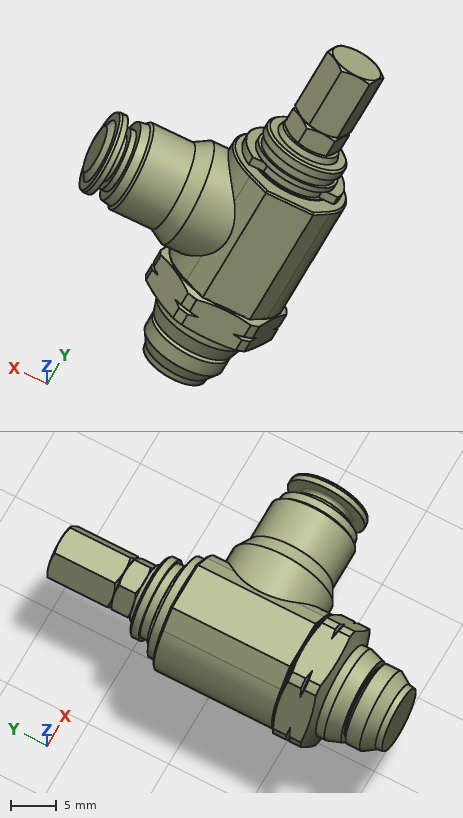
import cadquery as cq
import math

total_length = 42.0
join_overlap = 0.4

tip_radius = 3.82
tip_land_radius = 3.95
tip_land_end = 0.75
plug_radius = 4.87
plug_taper_end = 2.2
plug_end = 3.95
plug_groove_radius = 4.2
plug_groove_start = 4.33
plug_groove_end = 4.45
shoulder_start_radius = 4.95
shoulder_radius = 5.55
shoulder_taper_end = 6.2

nut_start = 7.25
nut_end = 11.75
nut_flats = 14.03
nut_corner_radius = 7.75
nut_lead_length = 0.65
nut_back_radius = 6.9
nut_back_length = 0.38
nut_groove_position = 9.55
nut_groove_radius = 7.35
nut_groove_half_width = 0.2

washer_radius = 6.9
body_start = 11.93
body_end = 26.75
body_half_width = nut_flats / 2
body_chamfer = 0.2

collar_start = 26.9
collar_end = 27.9
collar_radius = 6.05
collar_top_lift = 0.45
collar_bottom = -3.02

neck_radius = 4.9
neck_groove_radius = 4.55
neck_groove_start = 28.5
neck_groove_end = 29.6
neck_chamfer_start = 30.55
neck_end = 30.8
neck_end_radius = 4.65
stem_foot_radius = 3.7
stem_foot_end_radius = 3.45

lock_nut_start = 31.5
lock_nut_end = 34.0
stem_flats = 6.0
stem_bevel_depth = 0.5
stem_bevel_length = 0.25

branch_position = 19.25
branch_radius = 6.25
branch_shoulder_end = 8.75
branch_taper_end = 10.55
socket_radius = 5.25
socket_end = 15.65
cap_start_radius = 4.9
cap_start = 15.9
cap_end_radius = 4.7
cap_end = 16.95
ring_radius = 3.7
ring_end = 17.65
sleeve_neck_radius = 2.77
sleeve_fillet = 0.45
sleeve_flange_start = 18.55
sleeve_flange_radius = 4.8
sleeve_bevel_start = 19.25
sleeve_bevel_radius = 4.65
sleeve_flange_end = 19.55
sleeve_lip_radius = 3.7
sleeve_end = 20.08


def turned_y(points):
    """Solid of revolution about Y from (radius, Y) points."""
    profile = [(0, points[0][1])] + points + [(0, points[-1][1])]
    return cq.Workplane("XY").polyline(profile).close().revolve(360, (0, 0), (0, 1))


def along_y(start):
    """Workplane at the given Y whose extrusions grow toward +Y; local axes are X and -Z."""
    return cq.Workplane("XZ", origin=(0, start, 0)).transformed(rotate=(180, 0, 0))


def hexagon_bar(flats, start, end):
    """Hexagonal bar along Y with corners on the X axis."""
    across_corners = flats / math.cos(math.radians(30))
    return along_y(start).polygon(6, across_corners).extrude(end - start)


def make_plug():
    return turned_y([
        (tip_radius, 0),
        (tip_land_radius, tip_land_end),
        (plug_radius, plug_taper_end),
        (plug_radius, plug_end),
        (plug_groove_radius, plug_groove_start),
        (plug_groove_radius, plug_groove_end),
        (shoulder_start_radius, plug_groove_end),
        (shoulder_radius, shoulder_taper_end),
        (shoulder_radius, nut_start + join_overlap),
    ])


def make_nut():
    envelope = turned_y([
        (shoulder_radius, nut_start),
        (nut_corner_radius, nut_start + nut_lead_length),
        (nut_corner_radius, nut_groove_position - nut_groove_half_width),
        (nut_groove_radius, nut_groove_position),
        (nut_corner_radius, nut_groove_position + nut_groove_half_width),
        (nut_corner_radius, nut_end - nut_back_length),
        (nut_back_radius, nut_end),
    ])
    return hexagon_bar(nut_flats, nut_start, nut_end).intersect(envelope)


def make_washer():
    length = body_start - nut_end + 2 * join_overlap
    return along_y(nut_end - join_overlap).circle(washer_radius).extrude(length)


def make_body():
    half_flat = body_half_width * math.tan(math.radians(22.5))
    tangent = body_half_width * math.cos(math.radians(45))
    outline = (
        along_y(body_start)
        .moveTo(-tangent, tangent)
        .lineTo(-half_flat, body_half_width)
        .lineTo(half_flat, body_half_width)
        .lineTo(tangent, tangent)
        .threePointArc((body_half_width, 0), (tangent, -tangent))
        .lineTo(half_flat, -body_half_width)
        .lineTo(-half_flat, -body_half_width)
        .lineTo(-tangent, -tangent)
        .threePointArc((-body_half_width, 0), (-tangent, tangent))
        .close()
    )
    return outline.extrude(body_end - body_start).faces(">Y").chamfer(body_chamfer)


def make_collar():
    """Flange whose round top is centred a little above the axis and whose underside is flat."""
    top_radius = math.sqrt(collar_radius**2 - collar_top_lift**2)
    length = collar_end - collar_start
    raised_top = along_y(collar_start).center(0, -collar_top_lift).circle(top_radius).extrude(length)
    lower_disc = along_y(collar_start).circle(collar_radius).extrude(length)
    upper_half = cq.Workplane("XY", origin=(0, collar_start + length / 2, collar_top_lift)).box(
        2 * collar_radius, length, 2 * collar_radius, centered=(True, True, False)
    )
    middle_band = cq.Workplane("XY", origin=(0, collar_start + length / 2, collar_bottom)).box(
        2 * collar_radius, length, collar_top_lift - collar_bottom, centered=(True, True, False)
    )
    return raised_top.intersect(upper_half).union(lower_disc.intersect(middle_band))


def make_neck():
    return turned_y([
        (neck_radius, body_end - join_overlap),
        (neck_radius, collar_start),
        (neck_groove_radius, collar_start),
        (neck_groove_radius, collar_end),
        (neck_radius, collar_end),
        (neck_radius, neck_groove_start),
        (neck_groove_radius, neck_groove_start),
        (neck_groove_radius, neck_groove_end),
        (neck_radius, neck_groove_end),
        (neck_radius, neck_chamfer_start),
        (neck_end_radius, neck_end),
        (stem_foot_radius, neck_end),
        (stem_foot_end_radius, lock_nut_start),
    ])


def make_stem_piece(start, end):
    """Hexagonal piece of the stem with its corners bevelled at both ends."""
    corner_radius = stem_flats / 2 / math.cos(math.radians(30))
    envelope = turned_y([
        (corner_radius - stem_bevel_depth, start),
        (corner_radius, start + stem_bevel_length),
        (corner_radius, end - stem_bevel_length),
        (corner_radius - stem_bevel_depth, end),
    ])
    return hexagon_bar(stem_flats, start, end).intersect(envelope)


def make_branch():
    fillet_start = sleeve_flange_start - sleeve_fillet
    fillet_middle = (
        sleeve_flange_start - sleeve_fillet * (1 - math.sin(math.radians(45))),
        sleeve_neck_radius + sleeve_fillet * (1 - math.cos(math.radians(45))),
    )
    profile = (
        cq.Workplane("XY", origin=(0, branch_position, 0))
        .polyline([
            (0, 0),
            (0, branch_radius),
            (branch_shoulder_end, branch_radius),
            (branch_taper_end, socket_radius),
            (socket_end, socket_radius),
            (cap_start, cap_start_radius),
            (cap_end, cap_end_radius),
            (cap_end, ring_radius),
            (ring_end, ring_radius),
            (ring_end, sleeve_neck_radius),
            (fillet_start, sleeve_neck_radius),
        ])
        .threePointArc(fillet_middle, (sleeve_flange_start, sleeve_neck_radius + sleeve_fillet))
        .lineTo(sleeve_flange_start, sleeve_flange_radius)
        .lineTo(sleeve_bevel_start, sleeve_flange_radius)
        .lineTo(sleeve_flange_end, sleeve_bevel_radius)
        .lineTo(sleeve_flange_end, sleeve_lip_radius)
        .lineTo(sleeve_end, sleeve_neck_radius)
        .lineTo(sleeve_end, 0)
        .close()
    )
    return profile.revolve(360, (0, 0), (1, 0))


result = (
    make_body()
    .union(make_branch())
    .union(make_washer())
    .union(make_nut())
    .union(make_plug())
    .union(make_neck())
    .union(make_collar())
    .union(make_stem_piece(lock_nut_start, lock_nut_end))
    .union(make_stem_piece(lock_nut_end, total_length))
)